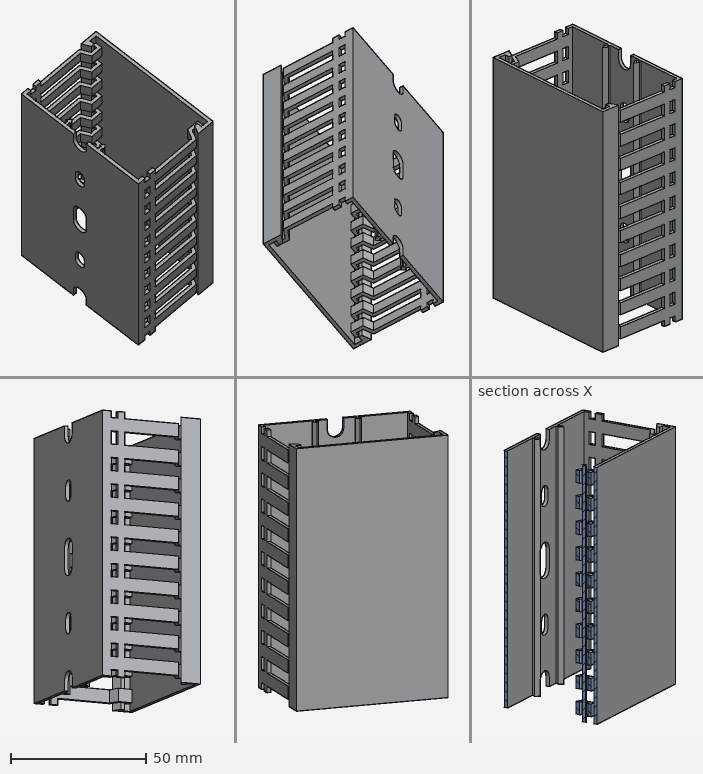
import cadquery as cq
import math

WIDTH = 60.0
DEPTH = 40.0
LENGTH = 100.0
WALL = 1.5

HALF_WIDTH = WIDTH / 2
HALF_LENGTH = LENGTH / 2
BACK = DEPTH / 2
FRONT = -DEPTH / 2
FLOOR_TOP = FRONT + WALL

SNAP_GAP = 0.75
SHOULDER_GAP = 1.0
CATCH_GAP = 0.4
FLANGE_END = 12.0
NECK_OFFSET = 4.0
RAMP_RISE = 2.0
HOOK_TOP = 17.5

FINGER_PITCH = 10.0
FINGER_WIDTH = 5.0
FINGER_COUNT = 10
SLOT_BOTTOM = -10.9
WINDOW_TOP = -13.8
WINDOW_BOTTOM = -16.4

LARGE_HOLE_WIDTH = 6.5
LARGE_HOLE_LENGTH = 14.0
SMALL_HOLE_WIDTH = 4.5
SMALL_HOLE_LENGTH = 8.0
SMALL_HOLE_Z = 25.0

RAIL_X = 8.5
RAIL_STEM_WIDTH = 1.1
RAIL_BARB_WIDTH = 2.6
RAIL_BARB_HEIGHT = 1.4
RAIL_HEIGHT = 3.2


def mirrored_profile(right_half):
    """Extrude a closed outline given by its +X half, ordered from one centre point to the other."""
    left_half = [(-x, y) for x, y in reversed(right_half) if x > 0]
    outline = cq.Workplane("XY").polyline(right_half + left_half).close()
    return outline.extrude(HALF_LENGTH, both=True)


def make_cover():
    """Flat cover whose two flanges end in inward catches."""
    inner_x = HALF_WIDTH - WALL
    catch_x = HALF_WIDTH - NECK_OFFSET + CATCH_GAP
    catch_top = HOOK_TOP - WALL - SNAP_GAP
    ramp_slope = RAMP_RISE / NECK_OFFSET
    catch_bottom = FLANGE_END + (HALF_WIDTH - catch_x) * ramp_slope
    return mirrored_profile([
        (0, BACK),
        (HALF_WIDTH, BACK),
        (HALF_WIDTH, FLANGE_END),
        (catch_x, catch_bottom),
        (catch_x, catch_top),
        (inner_x, catch_top),
        (inner_x, BACK - WALL),
        (0, BACK - WALL),
    ])


def base_channel():
    """Floor and side walls, each wall ending in a sloped shoulder and an outward hook."""
    neck_x = HALF_WIDTH - NECK_OFFSET
    hook_tip_x = HALF_WIDTH - WALL - SNAP_GAP
    shoulder_low = FLANGE_END - SHOULDER_GAP
    shoulder_high = shoulder_low + RAMP_RISE
    ramp_angle = math.atan2(RAMP_RISE, NECK_OFFSET)
    inner_drop = WALL * math.tan((math.pi / 2 - ramp_angle) / 2)
    return mirrored_profile([
        (0, FRONT),
        (HALF_WIDTH, FRONT),
        (HALF_WIDTH, shoulder_low),
        (neck_x, shoulder_high),
        (neck_x, HOOK_TOP - WALL),
        (hook_tip_x, HOOK_TOP - WALL),
        (hook_tip_x, HOOK_TOP),
        (neck_x - WALL, HOOK_TOP),
        (neck_x - WALL, shoulder_high - inner_drop),
        (HALF_WIDTH - WALL, shoulder_low - inner_drop),
        (HALF_WIDTH - WALL, FLOOR_TOP),
        (0, FLOOR_TOP),
    ])


def rail(x):
    """Full-length rail with an arrow section, standing on the floor."""
    barb_y = FLOOR_TOP + RAIL_BARB_HEIGHT
    return (
        cq.Workplane("XY")
        .polyline([
            (x - RAIL_STEM_WIDTH / 2, FLOOR_TOP),
            (x + RAIL_STEM_WIDTH / 2, FLOOR_TOP),
            (x + RAIL_STEM_WIDTH / 2, barb_y),
            (x + RAIL_BARB_WIDTH / 2, barb_y),
            (x, FLOOR_TOP + RAIL_HEIGHT),
            (x - RAIL_BARB_WIDTH / 2, barb_y),
            (x - RAIL_STEM_WIDTH / 2, barb_y),
        ])
        .close()
        .extrude(HALF_LENGTH, both=True)
    )


def wall_gap(y_low, y_high, z):
    """Cutter for one gap through both side walls."""
    gap_height = FINGER_PITCH - FINGER_WIDTH
    return cq.Workplane("XY").box(WIDTH, y_high - y_low, gap_height).translate((0, (y_low + y_high) / 2, z))


def floor_hole(width, length, z):
    """Cutter for a round-ended hole through the floor, long along Z."""
    return (
        cq.Workplane("XZ", origin=(0, FLOOR_TOP, z))
        .slot2D(length, width, 90)
        .extrude(WALL)
    )


def make_base():
    """Slotted duct body."""
    base = base_channel()

    for index in range(FINGER_COUNT + 1):
        z = -HALF_LENGTH + index * FINGER_PITCH
        base = base.cut(wall_gap(SLOT_BOTTOM, BACK, z))
        base = base.cut(wall_gap(WINDOW_BOTTOM, WINDOW_TOP, z))

    for z in (-HALF_LENGTH, 0, HALF_LENGTH):
        base = base.cut(floor_hole(LARGE_HOLE_WIDTH, LARGE_HOLE_LENGTH, z))
    for side in (-1, 1):
        base = base.cut(floor_hole(SMALL_HOLE_WIDTH, SMALL_HOLE_LENGTH, side * SMALL_HOLE_Z))

    for side in (-1, 1):
        base = base.union(rail(side * RAIL_X))
    return base


cover = make_cover()
base = make_base()
result = cq.Compound.makeCompound([*cover.solids().vals(), *base.solids().vals()])